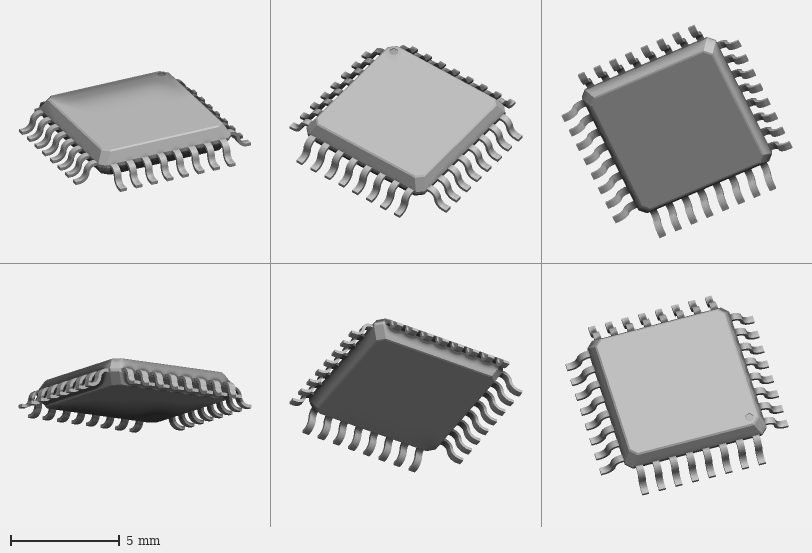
import cadquery as cq
import math

tip_span = 9.0
total_height = 1.48
body_half = 3.4
standoff = 0.19
waist_top = 0.92
waist_bottom = 0.73
side_angle = 29.0
top_rim_height = 0.05
bottom_rim_height = 0.03
rim_inset = 0.08
corner_cut = 0.29
corner_overlap = 0.03
rim_corner_cut = 0.28

leads_per_side = 8
lead_pitch = 0.8
lead_width = 0.32
lead_thickness = 0.15
shoulder_radius = 0.39
foot_radius = 0.45
shoulder_length = 0.09
root_depth = 0.09

mark_offset = 2.7
mark_radius = 0.2
mark_depth = 0.045

side_draft = math.tan(math.radians(side_angle))


def octagon(half, cut):
    """Corner points of a square of the given half width with 45-degree cut corners."""
    near = half - cut
    return [
        (half, -near), (half, near), (near, half), (-near, half),
        (-half, near), (-half, -near), (-near, -half), (near, -half),
    ]


def body_layer(lower, upper):
    """Straight-sided layer between two octagons, each given as (z, half, cut)."""
    z_low, half_low, cut_low = lower
    z_high, half_high, cut_high = upper
    return (
        cq.Workplane("XY", origin=(0, 0, z_low))
        .polyline(octagon(half_low, cut_low)).close()
        .workplane(offset=z_high - z_low)
        .polyline(octagon(half_high, cut_high)).close()
        .loft(ruled=True, combine=True)
    )


def half_sections(waist_z, end_z, rim_height):
    """Octagons from the waist to the top or bottom face, as (z, half, cut)."""
    direction = math.copysign(1, end_z - waist_z)
    rim_z = end_z - direction * rim_height
    rim_half = body_half - side_draft * abs(rim_z - waist_z)
    sloped_cut = corner_cut + 2 * side_draft * corner_overlap
    return [
        (waist_z - direction * corner_overlap, body_half, corner_cut),
        (waist_z, body_half, sloped_cut),
        (rim_z, rim_half, sloped_cut),
        (end_z, rim_half - rim_inset, rim_corner_cut),
    ]


def make_body():
    lower_half = half_sections(waist_bottom, standoff, bottom_rim_height)
    upper_half = half_sections(waist_top, total_height, top_rim_height)
    sections = lower_half[::-1] + upper_half
    body = body_layer(sections[0], sections[1])
    for lower, upper in zip(sections[1:], sections[2:]):
        body = body.union(body_layer(lower, upper))
    return body.clean()


def make_lead():
    """One gull-wing lead on the +X side, centred on Y = 0."""
    half_thickness = lead_thickness / 2
    shoulder_z = waist_top - half_thickness
    foot_z = half_thickness
    rise = shoulder_z - foot_z
    bend_angle = math.acos(1 - rise / (shoulder_radius + foot_radius))
    bend_run = (shoulder_radius + foot_radius) * math.sin(bend_angle)

    root_x = body_half - root_depth
    shoulder_x = body_half + shoulder_length
    foot_x = shoulder_x + bend_run
    tip_x = tip_span / 2

    def shoulder_bend(radius, angle):
        return (
            shoulder_x + radius * math.sin(angle),
            shoulder_z - shoulder_radius + radius * math.cos(angle),
        )

    def foot_bend(radius, angle):
        return (
            foot_x - radius * math.sin(angle),
            foot_z + foot_radius - radius * math.cos(angle),
        )

    shoulder_outer = shoulder_radius + half_thickness
    shoulder_inner = shoulder_radius - half_thickness
    foot_outer = foot_radius + half_thickness
    foot_inner = foot_radius - half_thickness
    middle = bend_angle / 2
    return (
        cq.Workplane("XZ")
        .moveTo(root_x, waist_top)
        .lineTo(*shoulder_bend(shoulder_outer, 0))
        .threePointArc(shoulder_bend(shoulder_outer, middle), shoulder_bend(shoulder_outer, bend_angle))
        .threePointArc(foot_bend(foot_inner, middle), foot_bend(foot_inner, 0))
        .lineTo(tip_x, lead_thickness)
        .lineTo(tip_x, 0)
        .lineTo(*foot_bend(foot_outer, 0))
        .threePointArc(foot_bend(foot_outer, middle), foot_bend(foot_outer, bend_angle))
        .threePointArc(shoulder_bend(shoulder_inner, middle), shoulder_bend(shoulder_inner, 0))
        .lineTo(root_x, waist_top - lead_thickness)
        .close()
        .extrude(lead_width / 2, both=True)
    )


def add_leads(body):
    lead = make_lead()
    first_y = -lead_pitch * (leads_per_side - 1) / 2
    for turn in (0, 90, 180, 270):
        for index in range(leads_per_side):
            placed = lead.translate((0, first_y + index * lead_pitch, 0))
            body = body.union(placed.rotate((0, 0, 0), (0, 0, 1), turn))
    return body


def make_index_mark():
    return (
        cq.Workplane("XY", origin=(-mark_offset, mark_offset, total_height - mark_depth))
        .circle(mark_radius)
        .extrude(mark_depth)
    )


result = add_leads(make_body()).cut(make_index_mark())